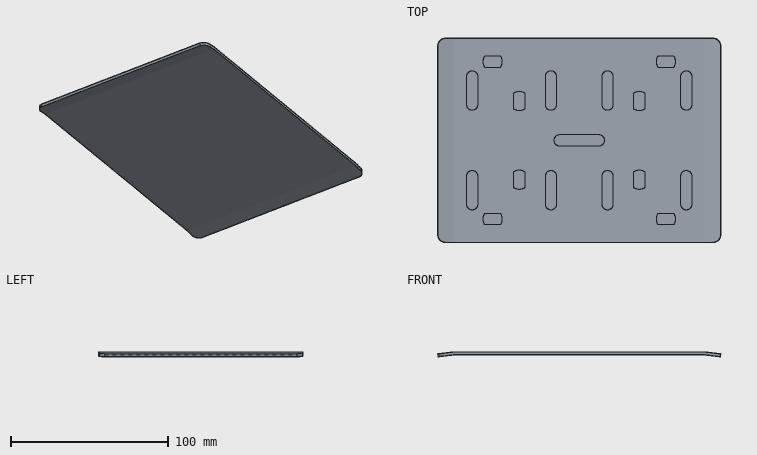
import cadquery as cq
import math

length = 180.0
width = 130.0
thickness = 2.0
flange_run = 10.0
bend_angle = math.radians(7)
corner_radius = 5.0

recess_depth = 0.09
slot_width = 7.2
side_slot_length = 25.0
center_slot_length = 32.0
side_slot_y = 31.7
inner_slot_x = 18.0
outer_slot_x = 68.0
short_slot_length = 12.2
corner_slot_x = 55.0
corner_slot_y = 50.0
middle_slot_x = 38.2
middle_slot_y = 25.0


def mirrored_points(x, y):
    return [(sx * x, sy * y) for sx in (-1, 1) for sy in (-1, 1)]


def bent_plate():
    bend_x = length / 2 - flange_run
    tip_drop = flange_run * math.tan(bend_angle)
    lower_bend_x = bend_x - thickness * math.tan(bend_angle / 2)
    lower_tip_x = length / 2 - thickness * math.sin(bend_angle)
    lower_tip_z = -tip_drop - thickness * math.cos(bend_angle)
    right_half = [
        (bend_x, 0),
        (length / 2, -tip_drop),
        (lower_tip_x, lower_tip_z),
        (lower_bend_x, -thickness),
    ]
    left_half = [(-x, z) for x, z in reversed(right_half)]
    sheet = (
        cq.Workplane("XZ").polyline(right_half + left_half).close()
        .extrude(width / 2, both=True)
    )
    plan = (
        cq.Workplane("XY").rect(length, width).extrude(-2 * (thickness + tip_drop))
        .edges("|Z").fillet(corner_radius)
    )
    return sheet.intersect(plan)


def long_slots(points, slot_length, angle):
    return (
        cq.Workplane("XY").pushPoints(points)
        .slot2D(slot_length, slot_width, angle).extrude(-recess_depth)
    )


def short_slots(points, x_size, y_size):
    """Circular recesses trimmed by flats to the given rectangle."""
    discs = (
        cq.Workplane("XY").pushPoints(points)
        .circle(short_slot_length / 2).extrude(-recess_depth)
    )
    flats = cq.Workplane("XY").pushPoints(points).rect(x_size, y_size).extrude(-recess_depth)
    return discs.intersect(flats)


recesses = [
    long_slots([(0, 0)], center_slot_length, 0),
    long_slots(mirrored_points(inner_slot_x, side_slot_y), side_slot_length, 90),
    long_slots(mirrored_points(outer_slot_x, side_slot_y), side_slot_length, 90),
    short_slots(mirrored_points(corner_slot_x, corner_slot_y), short_slot_length, slot_width),
    short_slots(mirrored_points(middle_slot_x, middle_slot_y), slot_width, short_slot_length),
]

result = bent_plate()
for recess in recesses:
    result = result.cut(recess)